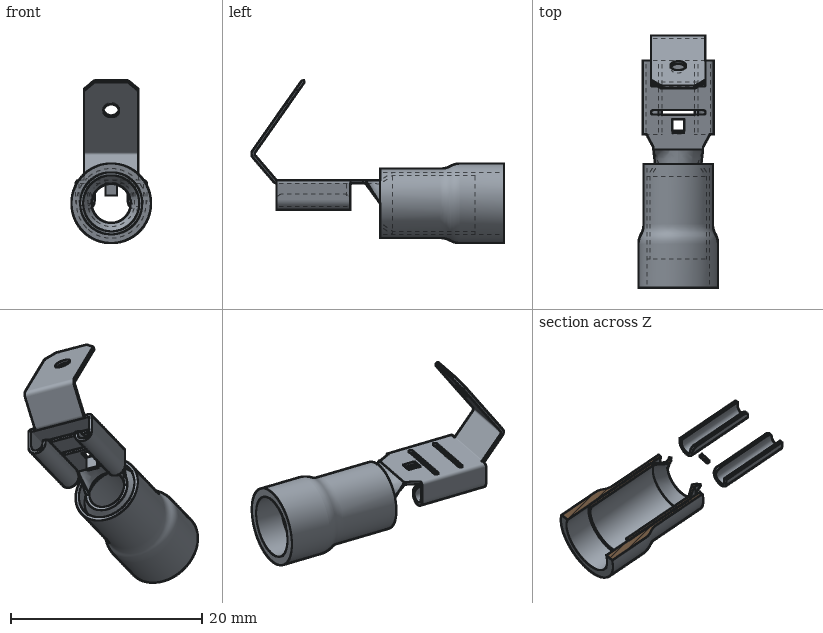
import cadquery as cq
import math

SLEEVE_LENGTH = 12.97
WIDE_RADIUS = 4.17
NARROW_RADIUS = 3.65
WIDE_LENGTH = 4.62
SHOULDER_END = 6.6
BORE_RADIUS = 3.25

BARREL_START_Y = 3.05
BARREL_BORE_RADIUS = 2.93
NECK_RADIUS = 2.43
NECK_BORE_RADIUS = 2.03
CONE_LENGTH = 1.32

SHEET = 0.35
PLATE_TOP = NECK_RADIUS
PLATE_BOTTOM = PLATE_TOP - SHEET
FLAT_START_Y = 14.5
FLAT_HALF_WIDTH = 2.62
TAPER_START_Y = 14.75
CURL_START_Y = 16.06
PLATE_END_Y = 23.8
RECEPTACLE_HALF_WIDTH = 3.73
SIDE_BEND_RADIUS = 0.4
CURL_RADIUS = 1.0
CURL_BOTTOM = -0.7
LIP_HEIGHT = 0.65
LIP_CORNER_RADIUS = 0.63

SLOT_LENGTH = 5.7
SLOT_WIDTH = 0.45
SLOT_CORNER = 0.2
SLOT_YS = (18.35, 21.3)
WINDOW_WIDTH = 1.25
WINDOW_START_Y = 16.22
WINDOW_END_Y = 17.62
TONGUE_BEND = 0.25
TONGUE_BOTTOM = 0.8

TAB_WIDTH = 5.7
TAB_END_Y = 26.42
FIRST_LEG_ANGLE = 49.4
SECOND_LEG_ANGLE = 54.9
SECOND_LEG_LENGTH = 9.33
KNEE_INNER_RADIUS = 0.25
ROOT_RADIUS = 0.13
TAB_CHAMFER_ACROSS = 1.25
TAB_CHAMFER_ALONG = 1.27
TAB_HOLE_RADIUS = 0.82
TAB_HOLE_FROM_TIP = 3.8

DIAGONAL = math.sqrt(0.5)


def make_sleeve():
    middle_y = (WIDE_LENGTH + SHOULDER_END) / 2
    middle_radius = (WIDE_RADIUS + NARROW_RADIUS) / 2
    return (
        cq.Workplane("XY")
        .moveTo(BORE_RADIUS, 0)
        .lineTo(WIDE_RADIUS, 0)
        .lineTo(WIDE_RADIUS, WIDE_LENGTH)
        .tangentArcPoint((middle_radius, middle_y), relative=False)
        .tangentArcPoint((NARROW_RADIUS, SHOULDER_END), relative=False)
        .lineTo(NARROW_RADIUS, SLEEVE_LENGTH)
        .lineTo(BORE_RADIUS, SLEEVE_LENGTH)
        .close()
        .revolve(360, (0, 0, 0), (0, 1, 0))
    )


def make_barrel():
    """Round tube that fills the sleeve bore and narrows at the sleeve end."""
    cone_start_y = SLEEVE_LENGTH - CONE_LENGTH
    return (
        cq.Workplane("XY")
        .moveTo(BARREL_BORE_RADIUS, BARREL_START_Y)
        .lineTo(BORE_RADIUS, BARREL_START_Y)
        .lineTo(BORE_RADIUS, cone_start_y)
        .lineTo(NECK_RADIUS, SLEEVE_LENGTH)
        .lineTo(NECK_BORE_RADIUS, SLEEVE_LENGTH)
        .lineTo(BARREL_BORE_RADIUS, cone_start_y)
        .close()
        .revolve(360, (0, 0, 0), (0, 1, 0))
    )


def make_transition_half():
    """Upper +X quarter of the neck flattening into the plate."""
    return (
        cq.Workplane("XZ", origin=(0, SLEEVE_LENGTH, 0))
        .moveTo(0, NECK_RADIUS)
        .threePointArc(
            (NECK_RADIUS * DIAGONAL, NECK_RADIUS * DIAGONAL),
            (NECK_RADIUS, 0),
        )
        .lineTo(NECK_BORE_RADIUS, 0)
        .threePointArc(
            (NECK_BORE_RADIUS * DIAGONAL, NECK_BORE_RADIUS * DIAGONAL),
            (0, NECK_BORE_RADIUS),
        )
        .close()
        .workplane(offset=SLEEVE_LENGTH - FLAT_START_Y)
        .moveTo(0, PLATE_TOP)
        .lineTo(FLAT_HALF_WIDTH, PLATE_TOP)
        .lineTo(FLAT_HALF_WIDTH, PLATE_BOTTOM)
        .lineTo(0, PLATE_BOTTOM)
        .close()
        .loft(ruled=True)
    )


def make_plate():
    edge = RECEPTACLE_HALF_WIDTH - SIDE_BEND_RADIUS
    return (
        cq.Workplane("XY", origin=(0, 0, PLATE_BOTTOM))
        .polyline([
            (-FLAT_HALF_WIDTH, FLAT_START_Y),
            (FLAT_HALF_WIDTH, FLAT_START_Y),
            (FLAT_HALF_WIDTH, TAPER_START_Y),
            (edge, CURL_START_Y),
            (edge, PLATE_END_Y),
            (-edge, PLATE_END_Y),
            (-edge, CURL_START_Y),
            (-FLAT_HALF_WIDTH, TAPER_START_Y),
        ])
        .close()
        .extrude(SHEET)
    )


def make_curled_side():
    """Side wall on +X: bent down from the plate and curled inward."""
    wall = RECEPTACLE_HALF_WIDTH
    bend_x = wall - SIDE_BEND_RADIUS
    bend_z = PLATE_TOP - SIDE_BEND_RADIUS
    bend_inner = SIDE_BEND_RADIUS - SHEET
    curl_x = wall - CURL_RADIUS
    curl_z = CURL_BOTTOM + CURL_RADIUS
    curl_inner = CURL_RADIUS - SHEET
    end_z = curl_z + LIP_HEIGHT
    lip_x = curl_x - CURL_RADIUS + SHEET / 2
    lip_corners = [
        cq.selectors.NearestToPointSelector((lip_x, y, end_z))
        for y in (CURL_START_Y, PLATE_END_Y)
    ]
    return (
        cq.Workplane("XZ", origin=(0, PLATE_END_Y, 0))
        .moveTo(bend_x, PLATE_TOP)
        .threePointArc(
            (bend_x + SIDE_BEND_RADIUS * DIAGONAL, bend_z + SIDE_BEND_RADIUS * DIAGONAL),
            (wall, bend_z),
        )
        .lineTo(wall, curl_z)
        .threePointArc((curl_x, CURL_BOTTOM), (curl_x - CURL_RADIUS, curl_z))
        .lineTo(curl_x - CURL_RADIUS, end_z)
        .lineTo(curl_x - curl_inner, end_z)
        .lineTo(curl_x - curl_inner, curl_z)
        .threePointArc((curl_x, CURL_BOTTOM + SHEET), (wall - SHEET, curl_z))
        .lineTo(wall - SHEET, bend_z)
        .threePointArc(
            (bend_x + bend_inner * DIAGONAL, bend_z + bend_inner * DIAGONAL),
            (bend_x, PLATE_BOTTOM),
        )
        .close()
        .extrude(PLATE_END_Y - CURL_START_Y)
        .edges(lip_corners[0] + lip_corners[1])
        .fillet(LIP_CORNER_RADIUS)
    )


def make_slots():
    return (
        cq.Workplane("XY", origin=(0, 0, PLATE_BOTTOM))
        .pushPoints([(0, y) for y in SLOT_YS])
        .rect(SLOT_LENGTH, SLOT_WIDTH)
        .extrude(SHEET)
        .edges("|Z")
        .fillet(SLOT_CORNER)
    )


def make_window():
    return cq.Workplane("XY").box(
        WINDOW_WIDTH, WINDOW_END_Y - WINDOW_START_Y, SHEET, centered=(True, False, False)
    ).translate((0, WINDOW_START_Y, PLATE_BOTTOM))


def make_tongue():
    """Latch tongue bent down from the near edge of the window."""
    far_y = WINDOW_START_Y + TONGUE_BEND
    near_y = far_y - SHEET
    root_y = near_y - TONGUE_BEND
    return (
        cq.Workplane("YZ")
        .moveTo(root_y, PLATE_TOP)
        .lineTo(WINDOW_START_Y, PLATE_TOP)
        .lineTo(far_y, PLATE_TOP - TONGUE_BEND)
        .lineTo(far_y, TONGUE_BOTTOM)
        .lineTo(near_y, TONGUE_BOTTOM)
        .lineTo(near_y, PLATE_BOTTOM - TONGUE_BEND)
        .tangentArcPoint((root_y, PLATE_BOTTOM), relative=False)
        .close()
        .extrude(WINDOW_WIDTH / 2, both=True)
    )


def make_tab():
    """Strip that rises from the plate end and folds back over the plate."""
    first = math.radians(FIRST_LEG_ANGLE)
    second = math.radians(SECOND_LEG_ANGLE)
    half_turn = (math.pi - first - second) / 2
    knee_normal = (first - second) / 2
    knee_outer_radius = KNEE_INNER_RADIUS + SHEET

    knee_reach = KNEE_INNER_RADIUS / math.cos(half_turn)
    knee_y = TAB_END_Y - knee_outer_radius + knee_reach * math.cos(knee_normal)
    knee_z = PLATE_TOP + (knee_y - PLATE_END_Y) * math.tan(first)
    tip_y = knee_y - SECOND_LEG_LENGTH * math.cos(second)
    tip_z = knee_z + SECOND_LEG_LENGTH * math.sin(second)

    root_shift = SHEET * math.tan(first / 2)
    knee_miter = SHEET / math.cos(half_turn)
    outer_knee_y = knee_y + knee_miter * math.cos(knee_normal)
    outer_knee_z = knee_z + knee_miter * math.sin(knee_normal)

    bevel = SHEET / 2
    ridge_y = tip_y + bevel * math.sin(second)
    ridge_z = tip_z + bevel * math.cos(second)
    inner_bevel_y = tip_y + bevel * math.cos(second)
    inner_bevel_z = tip_z - bevel * math.sin(second)
    outer_bevel_y = inner_bevel_y + SHEET * math.sin(second)
    outer_bevel_z = inner_bevel_z + SHEET * math.cos(second)

    start_y = PLATE_END_Y - SHEET

    def corner(y, z):
        return cq.selectors.NearestToPointSelector((0, y, z))

    strip = (
        cq.Workplane("YZ")
        .polyline([
            (start_y, PLATE_TOP),
            (PLATE_END_Y, PLATE_TOP),
            (knee_y, knee_z),
            (inner_bevel_y, inner_bevel_z),
            (ridge_y, ridge_z),
            (outer_bevel_y, outer_bevel_z),
            (outer_knee_y, outer_knee_z),
            (PLATE_END_Y + root_shift, PLATE_BOTTOM),
            (start_y, PLATE_BOTTOM),
        ])
        .close()
        .extrude(TAB_WIDTH / 2, both=True)
        .edges(corner(knee_y, knee_z)).fillet(KNEE_INNER_RADIUS)
        .edges(corner(outer_knee_y, outer_knee_z)).fillet(knee_outer_radius)
        .edges(corner(PLATE_END_Y, PLATE_TOP)).fillet(ROOT_RADIUS)
        .edges(corner(PLATE_END_Y + root_shift, PLATE_BOTTOM)).fillet(ROOT_RADIUS + SHEET)
    )

    leg_face = cq.Plane(
        origin=(0, tip_y, tip_z),
        xDir=(1, 0, 0),
        normal=(0, math.sin(second), math.cos(second)),
    )
    half_width = TAB_WIDTH / 2
    corner_cuts = cq.Workplane(leg_face)
    for side in (-1, 1):
        corner_cuts = (
            corner_cuts
            .moveTo(side * half_width, 0)
            .lineTo(side * (half_width - TAB_CHAMFER_ACROSS), 0)
            .lineTo(side * half_width, TAB_CHAMFER_ALONG)
            .close()
        )
    hole = cq.Workplane(leg_face).center(0, TAB_HOLE_FROM_TIP).circle(TAB_HOLE_RADIUS).extrude(SHEET)
    return strip.cut(corner_cuts.extrude(SHEET)).cut(hole)


def make_terminal():
    side = make_curled_side()
    transition = make_transition_half()
    terminal = (
        make_barrel()
        .union(transition)
        .union(transition.mirror("YZ"))
        .union(make_plate())
        .union(side)
        .union(side.mirror("YZ"))
        .union(make_tab())
        .cut(make_slots())
        .cut(make_window())
        .union(make_tongue())
    )
    return terminal


sleeve = make_sleeve()
terminal = make_terminal()
result = cq.Compound.makeCompound([sleeve.val(), terminal.val()])